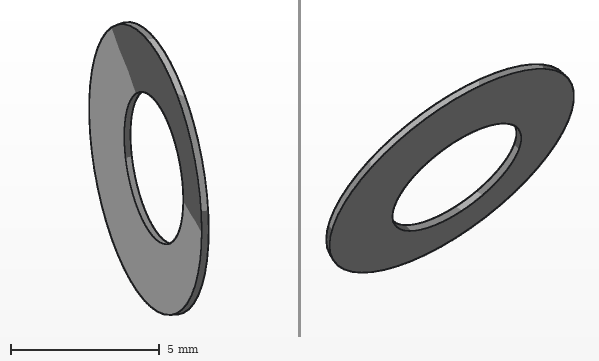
import cadquery as cq
import math

outer_diameter = 10.0
bore_diameter = 5.2
thickness = 0.25
overall_height = 0.55

outer_radius = outer_diameter / 2
bore_radius = bore_diameter / 2
radial_width = outer_radius - bore_radius
cone_rise = overall_height - thickness

tilt = math.atan2(cone_rise, radial_width)
edge_inset = thickness * math.sin(tilt)
edge_height = thickness * math.cos(tilt)

rim_y = -overall_height / 2
crown_y = overall_height / 2
section = [
    (outer_radius - edge_inset, rim_y),
    (outer_radius, rim_y + edge_height),
    (bore_radius + edge_inset, crown_y),
    (bore_radius, crown_y - edge_height),
]

result = (
    cq.Workplane("XY")
    .polyline(section)
    .close()
    .revolve(360, (0, 0, 0), (0, 1, 0))
)